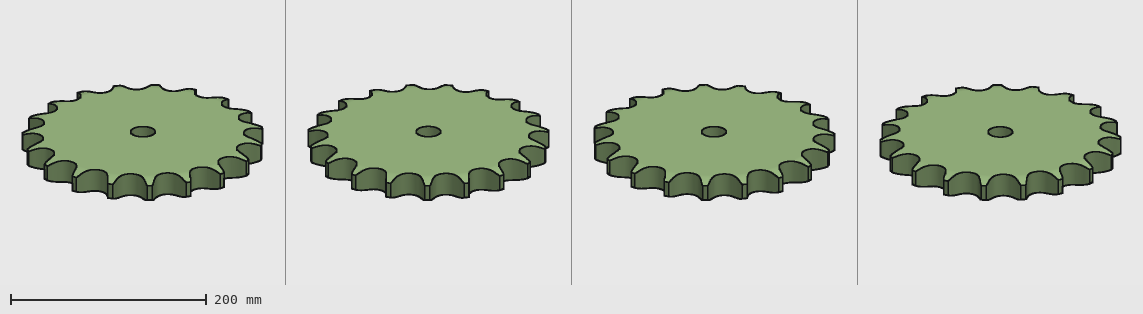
import cadquery as cq
import math

tooth_count = 19
chain_pitch = 38.1
roller_diameter = 25.3
tip_radius = 123.3
thickness = 24.0
bore_diameter = 25.0
bevel_start_radius = 106.3
bevel_profile_radius = chain_pitch

pitch_angle = 360 / tooth_count
pitch_radius = chain_pitch / (2 * math.sin(math.radians(pitch_angle / 2)))

seat_radius = 0.505 * roller_diameter
seat_end_angle = 35 + 60 / tooth_count
working_sweep = 18 - 56 / tooth_count
working_centre_distance = 0.8 * roller_diameter
topping_centre_distance = 1.4 * roller_diameter
working_radius = working_centre_distance + seat_radius
gap_clearance = 5


def polar(centre, radius, angle):
    """Point at a distance and an angle in degrees from a centre."""
    turn = math.radians(angle)
    return (centre[0] + radius * math.cos(turn), centre[1] + radius * math.sin(turn))


def mirrored(point):
    """The same point on the opposite flank."""
    return (-point[0], point[1])


def make_blank():
    """Disc whose rim curves inward from both faces towards the tooth tips."""
    half = thickness / 2

    def bevel_height(radius):
        reach = radius - bevel_start_radius
        return half - bevel_profile_radius + math.sqrt(bevel_profile_radius**2 - reach**2)

    middle_radius = (bevel_start_radius + tip_radius) / 2
    tip_half = bevel_height(tip_radius)
    middle_half = bevel_height(middle_radius)
    bore_radius = bore_diameter / 2
    return (
        cq.Workplane("XZ")
        .moveTo(bore_radius, -half)
        .lineTo(bevel_start_radius, -half)
        .threePointArc((middle_radius, -middle_half), (tip_radius, -tip_half))
        .lineTo(tip_radius, tip_half)
        .threePointArc((middle_radius, middle_half), (bevel_start_radius, half))
        .lineTo(bore_radius, half)
        .close()
        .revolve(360, (0, 0), (0, 1))
    )


def make_gap_cutter():
    """Prism of one tooth gap, opening along +Y; drawn about the roller centre, then moved out to it."""
    roller_centre = (0, 0)

    seat_bottom = (0, -seat_radius)
    seat_end = polar(roller_centre, seat_radius, 180 + seat_end_angle)
    working_centre = polar(roller_centre, working_centre_distance, seat_end_angle)
    flank_normal = 180 + seat_end_angle - working_sweep
    working_middle = polar(working_centre, working_radius, flank_normal + working_sweep / 2)
    working_end = polar(working_centre, working_radius, flank_normal)

    topping_centre = polar(roller_centre, topping_centre_distance, 180 + pitch_angle / 2)
    normal = polar((0, 0), 1, flank_normal)
    topping_radius = (
        (topping_centre[0] - working_end[0]) * normal[0]
        + (topping_centre[1] - working_end[1]) * normal[1]
    )
    topping_start = polar(topping_centre, topping_radius, flank_normal - 180)

    top_height = tip_radius + gap_clearance - pitch_radius
    topping_end_angle = math.degrees(math.asin((top_height - topping_centre[1]) / topping_radius))
    topping_end = polar(topping_centre, topping_radius, topping_end_angle)
    topping_middle_angle = (flank_normal - 180 + topping_end_angle) / 2
    topping_middle = polar(topping_centre, topping_radius, topping_middle_angle)

    return (
        cq.Workplane("XY")
        .moveTo(*topping_end)
        .threePointArc(topping_middle, topping_start)
        .lineTo(*working_end)
        .threePointArc(working_middle, seat_end)
        .threePointArc(seat_bottom, mirrored(seat_end))
        .threePointArc(mirrored(working_middle), mirrored(working_end))
        .lineTo(*mirrored(topping_start))
        .threePointArc(mirrored(topping_middle), mirrored(topping_end))
        .close()
        .extrude(thickness, both=True)
        .translate((0, pitch_radius, 0))
    )


result = make_blank()
gap_cutter = make_gap_cutter()
for index in range(tooth_count):
    result = result.cut(gap_cutter.rotate((0, 0, 0), (0, 0, 1), index * pitch_angle))